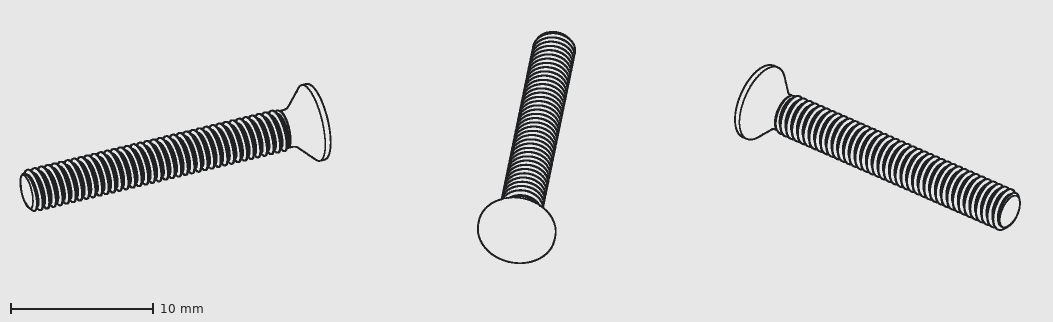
import cadquery as cq
import math

length = 22.0

head_radius = 2.75
rim_height = 0.46
rim_fillet = 0.13

neck_radius = 1.35
neck_fillet = 0.75
neck_end = 2.5

pitch = length / 44
major_radius = 1.5
minor_radius = 1.2
crest_width = pitch / 8
flank_angle = math.radians(30)
run_in_length = 0.26
tip_chamfer = major_radius - minor_radius
tip_phase = 0.25
overrun_turns = 3
trim_clearance = 0.15


def make_head_and_neck():
    """Rim, 45 degree countersink and neck as one revolved profile."""
    cone_angle = math.radians(45)
    arc_depth = neck_fillet * (1 - math.cos(cone_angle))
    arc_height = neck_fillet * math.sin(cone_angle)
    cone_end_radius = neck_radius + arc_depth
    cone_end = rim_height + head_radius - cone_end_radius

    half_angle = cone_angle / 2
    arc_end = cone_end + arc_height
    arc_middle = (
        neck_radius + neck_fillet * (1 - math.cos(half_angle)),
        -arc_end + neck_fillet * math.sin(half_angle),
    )

    profile = (
        cq.Workplane("XZ")
        .lineTo(head_radius, 0)
        .lineTo(head_radius, -rim_height)
        .lineTo(cone_end_radius, -cone_end)
        .threePointArc(arc_middle, (neck_radius, -arc_end))
        .lineTo(neck_radius, -neck_end)
        .lineTo(0, -neck_end)
        .close()
    )
    body = profile.revolve(360, (0, 0, 0), (0, 1, 0))
    return body.faces(">Z").edges().fillet(rim_fillet)


def helix_turn(radius, height):
    """One right-handed turn that starts on +X at the given height."""
    return cq.Wire.makeHelix(pitch, pitch, radius, center=cq.Vector(0, 0, height)).Edges()[0]


def make_endless_thread():
    """Threaded rod that runs past both ends of the thread, closed by stepped helicoids."""
    half_crest = crest_width / 2
    half_base = half_crest + (major_radius - minor_radius) * math.tan(flank_angle)

    first_crest = -length + (tip_phase - overrun_turns) * pitch
    bottom = first_crest - half_base
    turns = math.ceil((length - neck_end) / pitch) + 2 * overrun_turns
    top = bottom + turns * pitch

    thread_form = [
        (minor_radius, 0),
        (major_radius, half_base - half_crest),
        (major_radius, half_base + half_crest),
        (minor_radius, 2 * half_base),
        (minor_radius, pitch),
    ]

    faces = []
    for turn in range(turns):
        base = bottom + turn * pitch
        for (radius, rise), (next_radius, next_rise) in zip(thread_form, thread_form[1:]):
            lower = helix_turn(radius, base + rise)
            upper = helix_turn(next_radius, base + next_rise)
            faces.append(cq.Face.makeRuledSurface(lower, upper))

    for end in (bottom, top):
        axis = cq.Edge.makeLine(cq.Vector(0, 0, end), cq.Vector(0, 0, end + pitch))
        faces.append(cq.Face.makeRuledSurface(axis, helix_turn(minor_radius, end)))
        step = [(0, 0)] + thread_form + [(0, pitch)]
        corners = [cq.Vector(radius, 0, end + rise) for radius, rise in step]
        faces.append(cq.Face.makeFromWires(cq.Wire.makePolygon(corners, close=True)))

    return cq.Workplane(cq.Solid.makeSolid(cq.Shell.makeShell(faces)))


def make_thread_envelope():
    """Solid that trims the rod: a run-in cone below the neck and a chamfered tip."""
    clear_radius = major_radius + trim_clearance
    run_in_end = neck_end + run_in_length * (clear_radius - neck_radius) / (major_radius - neck_radius)
    tip_radius = major_radius - tip_chamfer
    return (
        cq.Workplane("XZ")
        .moveTo(0, -neck_end)
        .lineTo(neck_radius, -neck_end)
        .lineTo(clear_radius, -run_in_end)
        .lineTo(clear_radius, -length + clear_radius - tip_radius)
        .lineTo(tip_radius, -length)
        .lineTo(0, -length)
        .close()
        .revolve(360, (0, 0, 0), (0, 1, 0))
    )


thread = make_endless_thread().intersect(make_thread_envelope())
screw = make_head_and_neck().union(thread)

result = screw.rotate((0, 0, 0), (1, 0, 0), -90)